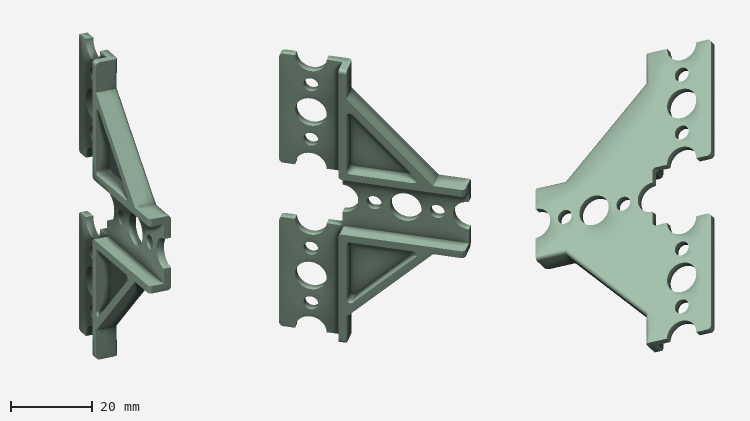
import cadquery as cq
import math

length = 48.0
height = 80.0
depth = 6.0
strip = 16.0
wall = 2.0
pitch = 8.0
holes_per_strip = 5
large_diameter = 8.0
small_diameter = 3.8
gusset_setback = 8.0
corner_radius = 1.0

half_height = height / 2
half_strip = strip / 2
flange_x = strip + wall
flange_z = half_strip + wall
gusset_x = length - gusset_setback
gusset_z = half_height - gusset_setback


def extrude_outline(points, front, back):
    """Extrude an XZ outline between two Y positions."""
    outline = cq.Workplane("XZ", origin=(0, back, 0)).polyline(points).close()
    return outline.extrude(back - front)


def edge_at(x, y, z):
    """Selector for the edge whose midpoint is nearest to a point."""
    return cq.selectors.NearestToPointSelector((x, y, z))


def make_plate():
    """Upper half of the flat T-shaped plate, behind the flanges."""
    outline = [
        (0, half_strip), (strip, half_strip), (strip, 0), (length, 0),
        (length, flange_z), (gusset_x, flange_z), (flange_x, gusset_z),
        (flange_x, half_height), (0, half_height),
    ]
    plate = extrude_outline(outline, depth - wall, depth)
    middle = depth - wall / 2
    for x, z in [(0, half_strip), (strip, half_strip), (0, half_height)]:
        plate = plate.edges(edge_at(x, middle, z)).fillet(corner_radius)
    return plate


def make_flange():
    """Upper L-shaped flange together with its corner gusset."""
    outline = [
        (strip, half_strip), (length, half_strip), (length, flange_z),
        (gusset_x, flange_z), (flange_x, gusset_z),
        (flange_x, half_height), (strip, half_height),
    ]
    flange = extrude_outline(outline, 0, depth)
    flange = flange.edges(edge_at(strip, depth / 2, half_strip)).fillet(corner_radius)
    free_ends = [
        (length, 0, half_strip + wall / 2),
        (strip + wall / 2, 0, half_height),
    ]
    for end in free_ends:
        flange = flange.edges(edge_at(*end)).fillet(corner_radius)
    return flange


def make_pocket():
    """Rounded triangular recess, open at the front and ending at the plate."""
    leg = gusset_x - flange_x - wall * math.sqrt(2)
    outline = [
        (flange_x, flange_z), (flange_x + leg, flange_z), (flange_x, flange_z + leg),
    ]
    return extrude_outline(outline, 0, depth - wall).edges("|Y").fillet(corner_radius)


def round_outer_back_edge(body):
    """Round the back edge along the flanges and the sloping gusset side."""
    midpoints = [
        ((gusset_x + length) / 2, depth, flange_z),
        ((gusset_x + flange_x) / 2, depth, (flange_z + gusset_z) / 2),
        (flange_x, depth, (gusset_z + half_height) / 2),
    ]
    edges = [body.edges(edge_at(*point)).val() for point in midpoints]
    return body.newObject(edges).fillet(corner_radius)


def make_holes():
    """Alternating large and small bores along every strip."""
    large = []
    small = []
    for step in range(holes_per_strip):
        centers = large if step % 2 == 0 else small
        offset = step * pitch
        centers.append((strip + offset, 0))
        for side in (1, -1):
            centers.append((half_strip, side * (half_strip + offset)))
    face = cq.Workplane("XZ", origin=(0, depth, 0))
    large_bores = face.pushPoints(large).circle(large_diameter / 2).extrude(depth)
    small_bores = face.pushPoints(small).circle(small_diameter / 2).extrude(depth)
    return large_bores, small_bores


upper = make_plate().union(make_flange()).cut(make_pocket())
upper = round_outer_back_edge(upper)
result = upper.union(upper.mirror("XY")).clean()
for bores in make_holes():
    result = result.cut(bores)